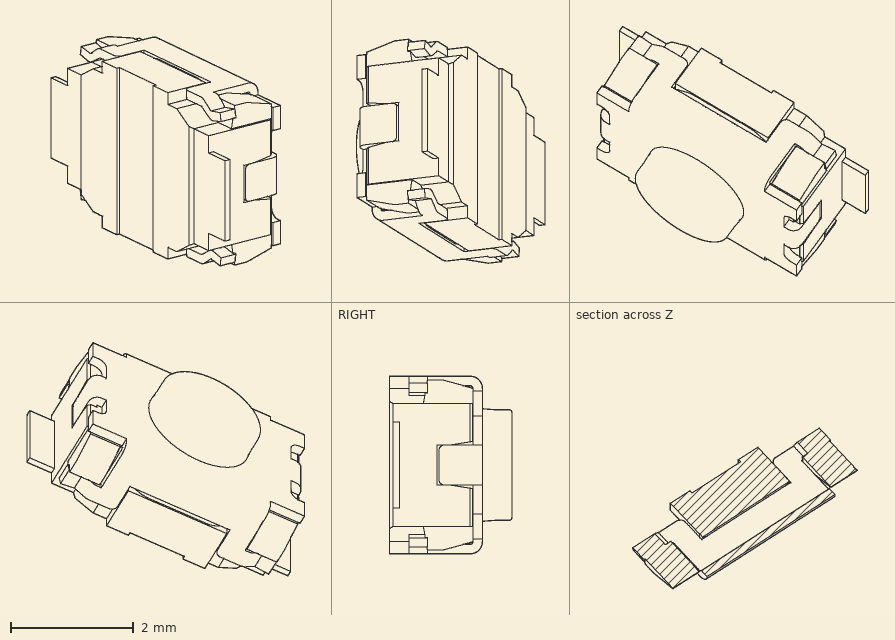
import cadquery as cq
import math


body_half_x = 1.948
body_half_z = 1.0
body_top = 1.36
top_chamfer = 0.047
waist_half_z = 1.245
waist_half_x = 1.152
foot_height = 0.06
foot_half_x = 1.485
groove_half_x = 0.5
groove_depth = 0.055
boss_half_x = 0.905
boss_half_z = 1.45
boss_top = 0.773

rib_slope = 30
rib_peak_half_x = 0.615
rib_foot_half_x = boss_half_x
rib_bend_radius = 0.32

corner_inner_x = 1.356
corner_outer_x = 1.907
corner_half_z = 1.39
corner_slope_start = 0.86
corner_top_z = 1.255
corner_base_y = 0.553
corner_rim_y = 0.62

sheet = 0.158
cover_top = body_top + sheet
cover_half_z = 1.45
cover_wall_half_x = 1.325
cover_plate_half_z = 1.204
bend_radius = 0.2
arm_bottom = 0.317
arm_top = 0.62
window_half_x = 0.92
window_top = 0.858
window_fillet = 0.105
notch_half_z = 0.8
notch_x = 1.7
notch_fillet = 0.16

arm_bend_x = 1.435
arm_inner_bend_x = 1.395
arm_bend_radius = 0.16
arm_dip = (1.66, 1.287)
arm_inner_dip = (1.675, 1.122)
arm_tip = (1.915, 1.335)
arm_inner_tip = (1.94, 1.187)

clip_half_z = 0.325
clip_outer_x = 1.945
clip_inner_x = clip_outer_x - sheet
clip_bottom = 0.81
clip_fillet = 0.08
clip_bend_radius = 0.16
pocket_bottom = 0.777
pocket_taper_y = 0.98
pocket_mouth_half_z = 0.385

button_top = 2.0
button_radius = 0.905
button_base_radius = 0.92
button_cone_top = 1.717
button_fillet = 0.05
terminal_half_x = 2.4
terminal_half_z = 0.7
terminal_thickness = 0.1


def box(x0, x1, y0, y1, z0, z1):
    """Axis-aligned box between two corners."""
    return cq.Workplane("XY").box(x1 - x0, y1 - y0, z1 - z0, centered=False).translate((x0, y0, z0))


def centered_box(half_x, y0, y1, half_z):
    """Box symmetric about the X = 0 and Z = 0 planes."""
    return box(-half_x, half_x, y0, y1, -half_z, half_z)


def prism_along_y(points, y0, y1):
    """Extrude an outline of (x, z) points from y0 to y1."""
    return cq.Workplane("XZ", origin=(0, y0, 0)).polyline(points).close().extrude(y0 - y1)


def prism_along_x(points, x0, x1):
    """Extrude an outline of (y, z) points from x0 to x1."""
    return cq.Workplane("YZ", origin=(x0, 0, 0)).polyline(points).close().extrude(x1 - x0)


def both_sides(shape):
    """The shape together with its mirror image across X = 0."""
    return shape.union(shape.mirror("YZ"))


def four_corners(shape):
    """The shape repeated in all four XZ quadrants."""
    pair = both_sides(shape)
    return pair.union(pair.mirror("XY"))


def make_lower_body():
    core = centered_box(body_half_x, 0, body_top, body_half_z)
    core = core.edges("|Z and >Y").chamfer(top_chamfer)
    flank_x = foot_half_x + foot_height
    outline = [
        (flank_x, body_half_z),
        (waist_half_x, waist_half_z),
        (-waist_half_x, waist_half_z),
        (-flank_x, body_half_z),
        (-flank_x, -body_half_z),
        (-waist_half_x, -waist_half_z),
        (waist_half_x, -waist_half_z),
        (flank_x, -body_half_z),
    ]
    waist = prism_along_y(outline, 0, arm_top)
    boss = centered_box(boss_half_x, 0, boss_top, boss_half_z)
    return core.union(waist).union(boss)


def cut_foot(body):
    """Step the underside up beside the foot and along the central groove."""
    step = (
        cq.Workplane("XY", origin=(0, 0, -boss_half_z))
        .moveTo(foot_half_x, 0)
        .lineTo(foot_half_x + foot_height, foot_height)
        .lineTo(terminal_half_x, foot_height)
        .lineTo(terminal_half_x, 0)
        .close()
        .extrude(2 * boss_half_z)
    )
    groove = centered_box(groove_half_x, 0, groove_depth, boss_half_z)
    return body.cut(both_sides(step)).cut(groove)


def make_corner_block():
    outline = [
        (corner_base_y, 0),
        (corner_base_y, body_half_z),
        (corner_rim_y, corner_half_z),
        (corner_slope_start, corner_half_z),
        (body_top, corner_top_z),
        (body_top, 0),
    ]
    return prism_along_x(outline, corner_inner_x, corner_outer_x)


def make_wall():
    """Long wall of the housing between the corner blocks."""
    rim_slope = (corner_rim_y - corner_base_y) / (corner_half_z - body_half_z)
    rim_y = corner_base_y + rim_slope * (waist_half_z - body_half_z)
    outline = [
        (corner_base_y, 0),
        (corner_base_y, body_half_z),
        (rim_y, waist_half_z),
        (body_top, waist_half_z),
        (body_top, 0),
    ]
    return prism_along_x(outline, 0, corner_inner_x)


def make_rib():
    """Rib with a flat middle that slopes down to the long wall at both ends."""
    rise = (rib_foot_half_x - rib_peak_half_x) * math.tan(math.radians(rib_slope))
    peak_z = waist_half_z + rise
    outline = [
        (-rib_foot_half_x, 0),
        (-rib_foot_half_x, waist_half_z),
        (-rib_peak_half_x, peak_z),
        (rib_peak_half_x, peak_z),
        (rib_foot_half_x, waist_half_z),
        (rib_foot_half_x, 0),
    ]
    rib = prism_along_y(outline, boss_top, window_top)
    rib = rib.edges("|Y and >Z").fillet(rib_bend_radius)
    return rib.union(rib.mirror("XY"))


def cut_clip_pockets(body):
    outline = [
        (pocket_bottom, -clip_half_z),
        (pocket_bottom, clip_half_z),
        (pocket_taper_y, clip_half_z),
        (body_top, pocket_mouth_half_z),
        (body_top, -pocket_mouth_half_z),
        (pocket_taper_y, -clip_half_z),
    ]
    return body.cut(both_sides(prism_along_x(outline, clip_inner_x, body_half_x)))


def make_body():
    body = cut_foot(make_lower_body())
    body = body.union(four_corners(make_corner_block().union(make_wall())))
    body = body.union(make_rib())
    return cut_clip_pockets(body)


def make_cover_channel():
    """Top plate with both long walls bent down, and a window in each wall."""
    inner_half_z = cover_half_z - sheet
    outer = centered_box(cover_wall_half_x, arm_bottom, cover_top, cover_half_z)
    outer = outer.edges("|X and >Y").fillet(bend_radius)
    inner = centered_box(cover_wall_half_x, arm_bottom, body_top, inner_half_z)
    inner = inner.edges("|X and >Y").fillet(bend_radius - sheet)
    window = centered_box(window_half_x, arm_bottom, window_top, cover_half_z)
    channel = outer.cut(inner).cut(window)
    corner_reach = sheet / 2
    near_corners = cq.selectors.BoxSelector(
        (-window_half_x - corner_reach, arm_bottom - corner_reach, -cover_half_z),
        (window_half_x + corner_reach, arm_bottom + corner_reach, cover_half_z),
    )
    return channel.edges("|Z").edges(near_corners).fillet(window_fillet)


def make_end_plate():
    """Plate reaching over the housing end, notched beside the clip."""
    plate = centered_box(body_half_x, body_top, cover_top, cover_plate_half_z)
    notch = box(notch_x, body_half_x + sheet, body_top, cover_top, -notch_half_z, notch_half_z)
    notch = notch.edges("|Y and <X").fillet(notch_fillet)
    return plate.cut(both_sides(notch))


def make_clip():
    bridge = box(0, clip_outer_x, body_top, cover_top, -clip_half_z, clip_half_z)
    leg = box(clip_inner_x, clip_outer_x, clip_bottom, body_top, -clip_half_z, clip_half_z)
    leg = leg.edges("|X and <Y").fillet(clip_fillet)
    return bridge.union(leg).edges("|Z and >X and >Y").fillet(clip_bend_radius)


def make_arm():
    inner_half_z = cover_half_z - sheet
    outline = [
        (cover_wall_half_x, cover_half_z),
        (arm_bend_x, cover_half_z),
        arm_dip,
        arm_tip,
        arm_inner_tip,
        arm_inner_dip,
        (arm_inner_bend_x, inner_half_z),
        (cover_wall_half_x, inner_half_z),
    ]
    arm = prism_along_y(outline, arm_bottom, arm_top)
    mid_y = (arm_bottom + arm_top) / 2
    for bend_x, bend_z in [(arm_bend_x, cover_half_z), arm_inner_dip]:
        bend = cq.selectors.NearestToPointSelector((bend_x, mid_y, bend_z))
        arm = arm.edges("|Y").edges(bend).fillet(arm_bend_radius)
    return arm


def make_button():
    profile = (
        cq.Workplane("XY")
        .moveTo(0, body_top)
        .lineTo(button_base_radius, body_top)
        .lineTo(button_base_radius, cover_top)
        .lineTo(button_radius, button_cone_top)
        .lineTo(button_radius, button_top)
        .lineTo(0, button_top)
        .close()
    )
    button = profile.revolve(360, (0, 0, 0), (0, 1, 0))
    return button.faces(">Y").edges().fillet(button_fillet)


terminals = centered_box(terminal_half_x, foot_height, foot_height + terminal_thickness, terminal_half_z)

result = make_body().union(make_cover_channel()).union(make_end_plate())
result = result.union(both_sides(make_clip()))
result = result.union(four_corners(make_arm()))
result = result.union(make_button()).union(terminals)